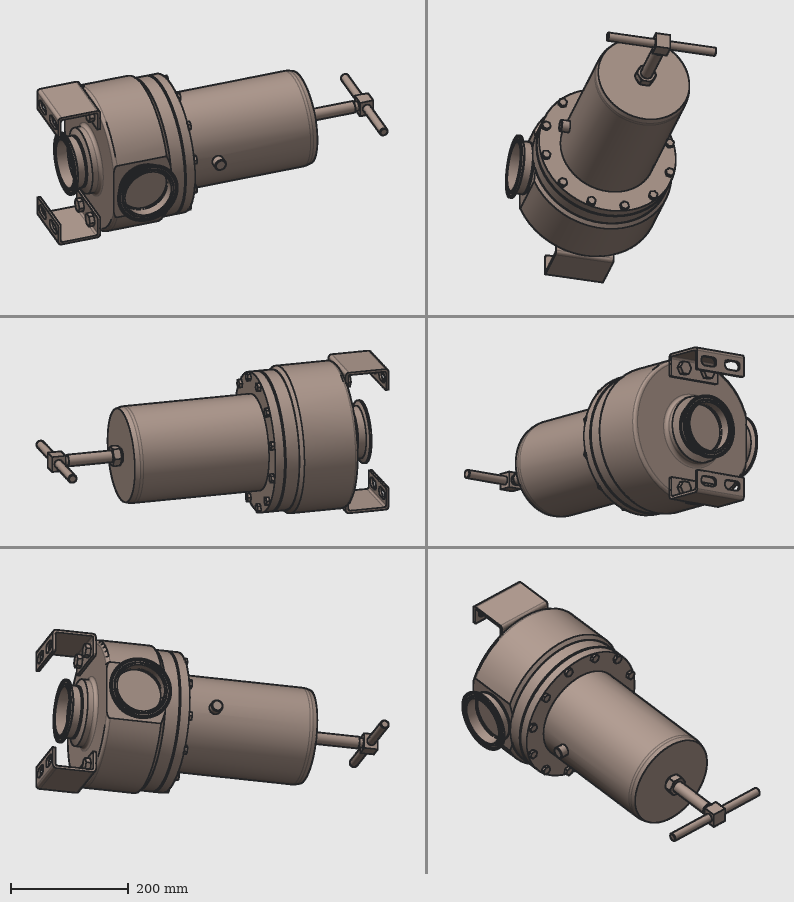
import cadquery as cq
import math


OVERALL_WIDTH = 266.0

HOUSING_DIAMETER = 252.5
HOUSING_RADIUS = HOUSING_DIAMETER / 2
HOUSING_LENGTH = 103.0
HOUSING_FRONT_ROUND = 6.0
HOUSING_REAR_CHAMFER = 7.0
HOUSING_FLAT_X = 115.5

FLANGE_DIAMETER = 241.0
FLANGE_RADIUS = FLANGE_DIAMETER / 2
FLANGE_REAR_Y = 146.0
JOINT_Y = 128.5
JOINT_WIDTH = 2.5
JOINT_DEPTH = 0.5

FLANGE_BOLT_COUNT = 12
FLANGE_BOLT_CIRCLE_RADIUS = 112.5
FLANGE_BOLT_CORNERS = 15.0
FLANGE_BOLT_HEAD = 5.55

TUBE_DIAMETER = 166.0
TUBE_RADIUS = TUBE_DIAMETER / 2
CAP_FRONT_Y = 369.0
CAP_SHOULDER_Y = 374.5
CAP_SHOULDER_RADIUS = 82.5
CAP_END_Y = 383.0
CAP_END_RADIUS = 80.0

PORT_RADIUS = 10.0
PORT_Y = 201.0
PORT_END_X = 98.0
PORT_CHAMFER = 1.0

COLLAR_RADIUS = 12.5
NUT_FRONT_Y = 387.0
NUT_REAR_Y = 401.0
NUT_CORNERS = 35.0
NUT_CHAMFER = 2.0
SPINDLE_DIAMETER = 20.5
SPINDLE_END_Y = 479.0
NECK_RADIUS = 8.0
HEAD_FRONT_Y = 486.0
HEAD_REAR_Y = 510.0
HEAD_WIDTH = 25.0
HEAD_HEIGHT = 27.0
HANDLE_DIAMETER = 14.5
HANDLE_LENGTH = 190.0
HANDLE_Y = 498.0
HANDLE_CHAMFER = 1.0

BOSS_RADIUS = 57.5
BOSS_LENGTH = 21.0
BOSS_BASE_FILLET = 6.5
BOSS_CONE_LENGTH = 4.5

FERRULE_RADIUS = 45.0
FERRULE_BORE_RADIUS = 42.0
FERRULE_NECK_RADIUS = 44.0
FERRULE_NECK_LENGTH = 3.0
FERRULE_FLANGE_RADIUS = 54.0
FERRULE_FLANGE_RIM = 3.5
FERRULE_FLANGE_TAPER = 3.5
SEAL_GROOVE_RADIUS = 48.5
SEAL_GROOVE_WIDTH = 6.5
SEAL_GROOVE_FLOOR_WIDTH = 3.5
SEAL_GROOVE_DEPTH = 1.45
FRONT_FERRULE_END_Y = -45.0
SIDE_FERRULE_END_X = OVERALL_WIDTH - HOUSING_RADIUS
SIDE_FERRULE_Y = 53.5

BRACKET_WIDTH = 101.5
BRACKET_DEPTH = 76.0
BRACKET_LEG = 38.5
BRACKET_THICKNESS = 4.5
BRACKET_OUTER_BEND = 6.0
BRACKET_INNER_BEND = 3.5
BRACKET_CORNER_RADIUS = 3.0
SLOT_SPACING = 51.0
SLOT_LENGTH = 33.0
SLOT_WIDTH = 16.5
SLOT_Z = 104.5
BRACKET_BOLT_CORNERS = 23.5
BRACKET_BOLT_HEAD = 9.0


def cylinder_y(radius, start_y, end_y):
    """Solid cylinder on the main axis."""
    return cq.Workplane("XZ", origin=(0, start_y, 0)).circle(radius).extrude(start_y - end_y)


def hexagon_y(corners, start_y, end_y):
    """Hexagonal prism on the main axis with two corners on X."""
    return cq.Workplane("XZ", origin=(0, start_y, 0)).polygon(6, corners).extrude(start_y - end_y)


def make_housing():
    housing = cylinder_y(HOUSING_RADIUS, 0, HOUSING_LENGTH)
    housing = housing.faces("<Y").edges().fillet(HOUSING_FRONT_ROUND)
    housing = housing.faces(">Y").edges().chamfer(HOUSING_REAR_CHAMFER)
    beyond_flat = cq.Workplane("XY").box(
        HOUSING_RADIUS, 3 * HOUSING_LENGTH, 2 * HOUSING_RADIUS, centered=(False, True, True)
    )
    return housing.cut(beyond_flat.translate((HOUSING_FLAT_X, 0, 0)))


def make_flanges():
    flanges = cylinder_y(FLANGE_RADIUS, HOUSING_LENGTH, FLANGE_REAR_Y)
    joint_front = JOINT_Y - JOINT_WIDTH / 2
    joint_rear = JOINT_Y + JOINT_WIDTH / 2
    groove = cylinder_y(FLANGE_RADIUS, joint_front, joint_rear).cut(
        cylinder_y(FLANGE_RADIUS - JOINT_DEPTH, joint_front, joint_rear)
    )
    flanges = flanges.cut(groove)
    bolt = hexagon_y(FLANGE_BOLT_CORNERS, FLANGE_REAR_Y, FLANGE_REAR_Y + FLANGE_BOLT_HEAD)
    bolt = bolt.translate((FLANGE_BOLT_CIRCLE_RADIUS, 0, 0))
    bolt_pitch = 360 / FLANGE_BOLT_COUNT
    for i in range(FLANGE_BOLT_COUNT):
        flanges = flanges.union(bolt.rotate((0, 0, 0), (0, 1, 0), (i + 0.5) * bolt_pitch))
    return flanges


def make_tube():
    profile = [
        (0, FLANGE_REAR_Y),
        (TUBE_RADIUS, FLANGE_REAR_Y),
        (TUBE_RADIUS, CAP_FRONT_Y),
        (CAP_SHOULDER_RADIUS, CAP_SHOULDER_Y),
        (CAP_END_RADIUS, CAP_END_Y),
        (0, CAP_END_Y),
    ]
    tube = cq.Workplane("XY").polyline(profile).close().revolve(360, (0, 0, 0), (0, 1, 0))
    port = cq.Workplane("YZ").center(PORT_Y, 0).circle(PORT_RADIUS).extrude(PORT_END_X)
    return tube.union(port.faces(">X").edges().chamfer(PORT_CHAMFER))


def make_nut():
    """Lock nut whose corners are turned off at both ends."""
    nut = hexagon_y(NUT_CORNERS, NUT_FRONT_Y, NUT_REAR_Y)
    blank = cylinder_y(NUT_CORNERS / 2, NUT_FRONT_Y, NUT_REAR_Y).edges("%CIRCLE").chamfer(NUT_CHAMFER)
    return nut.intersect(blank)


def make_spindle():
    spindle = cylinder_y(COLLAR_RADIUS, CAP_END_Y, NUT_FRONT_Y)
    spindle = spindle.union(make_nut())
    spindle = spindle.union(cylinder_y(SPINDLE_DIAMETER / 2, NUT_REAR_Y, SPINDLE_END_Y))
    spindle = spindle.union(cylinder_y(NECK_RADIUS, SPINDLE_END_Y, HEAD_FRONT_Y))
    head = cq.Workplane("XY").box(
        HEAD_WIDTH, HEAD_REAR_Y - HEAD_FRONT_Y, HEAD_HEIGHT, centered=(True, False, True)
    )
    handle = cq.Workplane("YZ").center(HANDLE_Y, 0).circle(HANDLE_DIAMETER / 2)
    handle = handle.extrude(HANDLE_LENGTH / 2, both=True)
    handle = handle.faces("<X or >X").edges().chamfer(HANDLE_CHAMFER)
    return spindle.union(head.translate((0, HEAD_FRONT_Y, 0))).union(handle)


def make_boss():
    """Round boss with a concave fillet at its base and a conical front end."""
    end_y = -BOSS_LENGTH
    base_middle = BOSS_BASE_FILLET * (1 - math.sqrt(0.5))
    return (
        cq.Workplane("XY")
        .moveTo(0, 0)
        .lineTo(BOSS_RADIUS + BOSS_BASE_FILLET, 0)
        .threePointArc((BOSS_RADIUS + base_middle, -base_middle), (BOSS_RADIUS, -BOSS_BASE_FILLET))
        .lineTo(BOSS_RADIUS, end_y + BOSS_CONE_LENGTH)
        .lineTo(FERRULE_RADIUS, end_y)
        .lineTo(0, end_y)
        .close()
        .revolve(360, (0, 0, 0), (0, 1, 0))
    )


def make_ferrule(length):
    """Clamp ferrule standing on Y = 0 and pointing along -Y, with a seal groove in its end face."""
    end_y = -length
    rim_y = end_y + FERRULE_FLANGE_RIM
    profile = [
        (FERRULE_BORE_RADIUS, 0),
        (FERRULE_NECK_RADIUS, 0),
        (FERRULE_NECK_RADIUS, -FERRULE_NECK_LENGTH),
        (FERRULE_RADIUS, -FERRULE_NECK_LENGTH),
        (FERRULE_RADIUS, rim_y + FERRULE_FLANGE_TAPER),
        (FERRULE_FLANGE_RADIUS, rim_y),
        (FERRULE_FLANGE_RADIUS, end_y),
        (SEAL_GROOVE_RADIUS + SEAL_GROOVE_WIDTH / 2, end_y),
        (SEAL_GROOVE_RADIUS + SEAL_GROOVE_FLOOR_WIDTH / 2, end_y + SEAL_GROOVE_DEPTH),
        (SEAL_GROOVE_RADIUS - SEAL_GROOVE_FLOOR_WIDTH / 2, end_y + SEAL_GROOVE_DEPTH),
        (SEAL_GROOVE_RADIUS - SEAL_GROOVE_WIDTH / 2, end_y),
        (FERRULE_BORE_RADIUS, end_y),
    ]
    return cq.Workplane("XY").polyline(profile).close().revolve(360, (0, 0, 0), (0, 1, 0))


def make_bracket():
    """Upper bracket: a C channel open downwards, bolted to the housing front."""
    top_z = HOUSING_RADIUS
    leg_end_z = top_z - BRACKET_LEG
    middle_y = -BRACKET_DEPTH / 2
    bracket = cq.Workplane("XY").box(BRACKET_WIDTH, BRACKET_DEPTH, BRACKET_LEG)
    bracket = bracket.faces(">Z").edges("|X").fillet(BRACKET_OUTER_BEND)
    channel = cq.Workplane("XY").box(BRACKET_WIDTH, BRACKET_DEPTH - 2 * BRACKET_THICKNESS, BRACKET_LEG)
    channel = channel.faces(">Z").edges("|X").fillet(BRACKET_INNER_BEND)
    bracket = bracket.cut(channel.translate((0, 0, -BRACKET_THICKNESS)))
    bracket = bracket.translate((0, middle_y, (top_z + leg_end_z) / 2))
    bracket = bracket.faces("<Z").edges("|Y").fillet(BRACKET_CORNER_RADIUS)

    slot_places = [(-SLOT_SPACING / 2, SLOT_Z), (SLOT_SPACING / 2, SLOT_Z)]
    slots = (
        cq.Workplane("XZ", origin=(0, middle_y, 0))
        .pushPoints(slot_places)
        .slot2D(SLOT_LENGTH, SLOT_WIDTH)
        .extrude(BRACKET_DEPTH)
    )
    bolts = (
        cq.Workplane("XZ")
        .pushPoints(slot_places)
        .polygon(6, BRACKET_BOLT_CORNERS)
        .extrude(BRACKET_THICKNESS + BRACKET_BOLT_HEAD)
    )
    return bracket.cut(slots).union(bolts)


front_ferrule = make_ferrule(-FRONT_FERRULE_END_Y - BOSS_LENGTH).translate((0, -BOSS_LENGTH, 0))
side_ferrule = (
    make_ferrule(SIDE_FERRULE_END_X - HOUSING_FLAT_X)
    .rotate((0, 0, 0), (0, 0, 1), 90)
    .translate((HOUSING_FLAT_X, SIDE_FERRULE_Y, 0))
)
upper_bracket = make_bracket()
lower_bracket = upper_bracket.mirror("XY")

result = make_housing()
for component in (
    make_flanges(),
    make_tube(),
    make_spindle(),
    make_boss(),
    front_ferrule,
    side_ferrule,
    upper_bracket,
    lower_bracket,
):
    result = result.union(component)